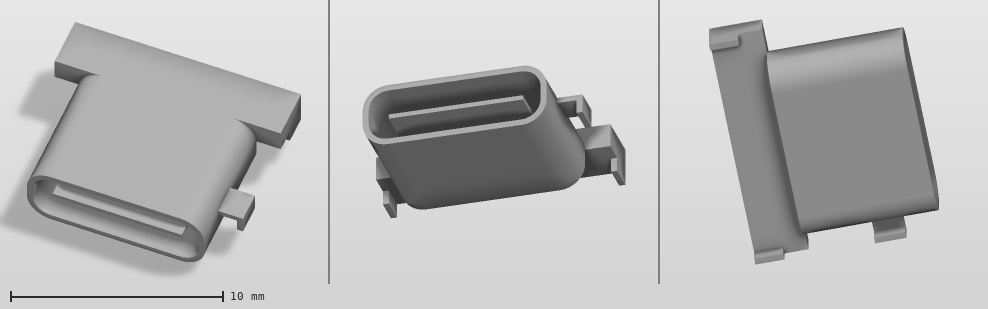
import cadquery as cq

overall_width = 11.5
overall_depth = 9.05

shell_width = 9.03
shell_height = 3.2
shell_radius = 1.24
wall = 0.3

tongue_width = 6.58
tongue_thickness = 0.23
tongue_recess = 0.2

bar_depth = 2.54
bar_height = 1.2
leg_bottom = 1.91
leg_thickness = 0.3
rear_leg_depth = 1.39

tab_front = 1.79
tab_depth = 1.51
tab_top = 0.95
tab_thickness = 0.28

shell_depth = overall_depth - bar_depth
cavity_depth = shell_depth - wall
half_width = overall_width / 2
mid_height = -shell_height / 2


def block(x_min, x_max, y_min, y_max, z_min, z_max):
    """Box given by its limits along each axis."""
    size = (x_max - x_min, y_max - y_min, z_max - z_min)
    return cq.Workplane("XY").box(*size, centered=False).translate((x_min, y_min, z_min))


def rounded_bar(inset, depth):
    """Round-cornered bar running back from the mouth, inset from the shell outline."""
    return (
        cq.Workplane("XZ", origin=(0, 0, mid_height))
        .rect(shell_width - 2 * inset, shell_height - 2 * inset)
        .extrude(-depth)
        .edges("|Y")
        .fillet(shell_radius - inset)
    )


def make_shell():
    """Hollow shell, open at the mouth and closed by a rear wall."""
    return rounded_bar(0, shell_depth).cut(rounded_bar(wall, cavity_depth))


def make_tongue():
    """Thin plate reaching forward from the rear wall."""
    return block(
        -tongue_width / 2, tongue_width / 2,
        tongue_recess, shell_depth,
        mid_height - tongue_thickness / 2, mid_height + tongue_thickness / 2,
    )


def make_rear_bar():
    """Full-width rear bar with a thin leg under each end."""
    bar = block(-half_width, half_width, shell_depth, overall_depth, -bar_height, 0)
    for x_min in (-half_width, half_width - leg_thickness):
        leg = block(
            x_min, x_min + leg_thickness,
            overall_depth - rear_leg_depth, overall_depth,
            -leg_bottom, 0,
        )
        bar = bar.union(leg)
    return bar


def make_side_tab():
    """Strip leaving the shell side and bent down into a leg."""
    tab_back = tab_front + tab_depth
    arm_start = shell_width / 2 - wall / 2
    arm_bottom = -tab_top - tab_thickness
    arm = block(arm_start, half_width, tab_front, tab_back, arm_bottom, -tab_top)
    arm = arm.cut(rounded_bar(wall, cavity_depth))
    leg = block(half_width - leg_thickness, half_width, tab_front, tab_back, -leg_bottom, -tab_top)
    return arm.union(leg)


result = make_shell().union(make_tongue()).union(make_rear_bar()).union(make_side_tab())